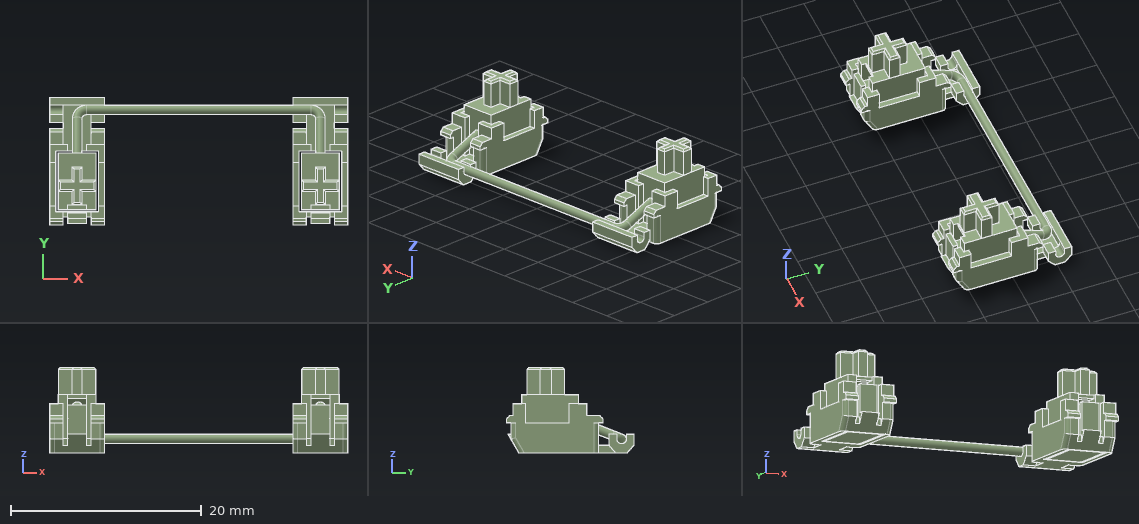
import cadquery as cq
import math


TOTAL_LENGTH = 31.3
HOUSING_WIDTH = 5.8
CENTER_X = (TOTAL_LENGTH - HOUSING_WIDTH) / 2
SIDES = (-1, 1)

HALF_WIDTH = HOUSING_WIDTH / 2
FRONT_Y = 0.47
REAR_Y = 9.67
UPPER_FRONT_Y = 0.7
UPPER_REAR_Y = 8.45
WALL_TOP_Z = 5.2
CORNER_RADIUS = 0.5
BEVEL_TOP_Z = 1.47
BEVEL_FOOT_Y = 1.3
BEVEL_RUN = (BEVEL_FOOT_Y - FRONT_Y) / BEVEL_TOP_Z

LUG_FRONT_Y = 0.0
LUG_REAR_Y = 10.15
LUG_BOTTOM_Z = 3.2
LUG_TOP_Z = 3.98
LUG_CHAMFER = 0.38

CAVITY_WIDTH = 4.45
CAVITY_FRONT_Y = 1.4
CAVITY_REAR_Y = 7.75
WINDOW_FRONT_Y = 2.0
WINDOW_REAR_Y = 6.57
WINDOW_SILL_Z = LUG_BOTTOM_Z

CHANNEL_WIDTH = 2.95
CLIP_WIDTH = 1.97
CLIP_FRONT_Y = 0.72
CLIP_BACK_Y = 1.25
CLIP_TOP_Z = 5.07
CLIP_LEDGE_Z = 2.0
SILL_FRONT_Y = 0.85
SILL_TOP_Z = 1.53

WIRE_RADIUS = 0.5
BEND_RADIUS = 1.0
WIRE_Y = 12.08
WIRE_Z = 1.5
LEG_TILT = 21.5
LEG_LENGTH = 9.33

ARM_TOP_Z = 0.85
HOOK_REAR_Y = 13.4
HOOK_FRONT_Y = 10.75
HOOK_TOP_Z = 2.0
HOOK_CHAMFER_Y = 0.75
HOOK_CHAMFER_Z = ARM_TOP_Z

STEM_WIDTH = 3.98
STEM_FRONT_Y = 1.6
STEM_REAR_Y = 7.57
STEM_TOP_Z = 6.15
CROSS_TOP_Z = 9.0
CROSS_SPAN = 3.95
CROSS_CENTER_Y = 4.13
CROSS_X_ARM_THICKNESS = 1.22
CROSS_Y_ARM_THICKNESS = 1.05
CROSS_CHAMFER = 0.22
NOTCH_WIDTH = CLIP_WIDTH
NOTCH_BACK_Y = 2.1
POCKET_FLOOR_Z = 3.65
POCKET_ROOF_Z = 5.75
POCKET_ROOF_REAR_Y = 3.13
POCKET_ROOF_SLOPE = 36.0


def block(width, y_range, z_range):
    """Box of the given X width, centred on X = 0, between two Y and two Z positions."""
    (y0, y1), (z0, z1) = y_range, z_range
    box = cq.Workplane("XY").box(width, y1 - y0, z1 - z0, centered=(True, False, False))
    return box.translate((0, y0, z0))


def side_profile(points, width):
    """Outline of (Y, Z) points extruded along X, centred on X = 0."""
    return cq.Workplane("YZ").polyline(points).close().extrude(width / 2, both=True)


def bevel_y(z):
    """Y position of the sloped front underside at height z."""
    return BEVEL_FOOT_Y - BEVEL_RUN * z


def lower_shell():
    """Housing below the lugs, with a sloped front underside and rounded corners."""
    shell = side_profile(
        [
            (BEVEL_FOOT_Y, 0),
            (REAR_Y, 0),
            (REAR_Y, LUG_BOTTOM_Z),
            (FRONT_Y, LUG_BOTTOM_Z),
            (FRONT_Y, BEVEL_TOP_Z),
        ],
        HOUSING_WIDTH,
    )
    return shell.edges("not (|X or >Z or <Z)").fillet(CORNER_RADIUS)


def upper_shell():
    """Housing above the lower part, with lugs overhanging its front and rear."""
    walls = block(HOUSING_WIDTH, (UPPER_FRONT_Y, UPPER_REAR_Y), (LUG_BOTTOM_Z, WALL_TOP_Z))
    lugs = side_profile(
        [
            (LUG_FRONT_Y, LUG_BOTTOM_Z),
            (LUG_REAR_Y, LUG_BOTTOM_Z),
            (LUG_REAR_Y, LUG_TOP_Z - LUG_CHAMFER),
            (LUG_REAR_Y - LUG_CHAMFER, LUG_TOP_Z),
            (LUG_FRONT_Y + LUG_CHAMFER, LUG_TOP_Z),
            (LUG_FRONT_Y, LUG_TOP_Z - LUG_CHAMFER),
        ],
        HOUSING_WIDTH,
    )
    return walls.union(lugs)


def shell_openings():
    """Stem cavity, side windows, front clip opening, and rear passage for the wire leg."""
    cavity = block(CAVITY_WIDTH, (CAVITY_FRONT_Y, CAVITY_REAR_Y), (0, WALL_TOP_Z))
    windows = block(HOUSING_WIDTH, (WINDOW_FRONT_Y, WINDOW_REAR_Y), (WINDOW_SILL_Z, WALL_TOP_Z))
    front_gap = block(CHANNEL_WIDTH, (LUG_FRONT_Y, CAVITY_FRONT_Y), (0, WALL_TOP_Z))
    rear_channel = block(CHANNEL_WIDTH, (UPPER_REAR_Y, LUG_REAR_Y), (ARM_TOP_Z, WALL_TOP_Z))
    rear_slot = block(CLIP_WIDTH, (CAVITY_REAR_Y, UPPER_REAR_Y), (ARM_TOP_Z, WALL_TOP_Z))
    return cavity.union(windows).union(front_gap).union(rear_channel).union(rear_slot)


def front_clip():
    """Upright tongue in the front opening, standing on a low sill."""
    sill = side_profile(
        [
            (BEVEL_FOOT_Y, 0),
            (CAVITY_FRONT_Y, 0),
            (CAVITY_FRONT_Y, SILL_TOP_Z),
            (SILL_FRONT_Y, SILL_TOP_Z),
            (SILL_FRONT_Y, (BEVEL_FOOT_Y - SILL_FRONT_Y) / BEVEL_RUN),
        ],
        CHANNEL_WIDTH,
    )
    clip = side_profile(
        [
            (BEVEL_FOOT_Y, 0),
            (bevel_y(CLIP_LEDGE_Z), CLIP_LEDGE_Z),
            (CLIP_FRONT_Y, CLIP_LEDGE_Z),
            (CLIP_FRONT_Y, CLIP_TOP_Z),
            (CLIP_BACK_Y, CLIP_TOP_Z),
            (CLIP_BACK_Y, SILL_TOP_Z),
            (BEVEL_FOOT_Y, SILL_TOP_Z),
        ],
        CLIP_WIDTH,
    )
    return sill.union(clip)


def rear_hook():
    """Grooved block that holds the long bar of the wire, on an arm from the housing."""
    arm = block(CHANNEL_WIDTH, (UPPER_REAR_Y, WIRE_Y), (0, ARM_TOP_Z))
    hook = side_profile(
        [
            (HOOK_REAR_Y - HOOK_CHAMFER_Y, 0),
            (HOOK_REAR_Y, HOOK_CHAMFER_Z),
            (HOOK_REAR_Y, HOOK_TOP_Z),
            (HOOK_FRONT_Y, HOOK_TOP_Z),
            (HOOK_FRONT_Y, HOOK_CHAMFER_Z),
            (HOOK_FRONT_Y + HOOK_CHAMFER_Y, 0),
        ],
        HOUSING_WIDTH,
    )
    groove = cq.Workplane("YZ").center(WIRE_Y, WIRE_Z).circle(WIRE_RADIUS).extrude(HALF_WIDTH, both=True)
    groove_mouth = block(
        HOUSING_WIDTH, (WIRE_Y - WIRE_RADIUS, WIRE_Y + WIRE_RADIUS), (WIRE_Z, HOOK_TOP_Z)
    )
    bend_clearance = block(CHANNEL_WIDTH, (HOOK_FRONT_Y, WIRE_Y + WIRE_RADIUS), (ARM_TOP_Z, HOOK_TOP_Z))
    return hook.cut(groove).cut(groove_mouth).cut(bend_clearance).union(arm)


def make_housing(center_x):
    shell = lower_shell().union(upper_shell()).cut(shell_openings())
    return shell.union(front_clip()).union(rear_hook()).translate((center_x, 0, 0))


def stem_cross():
    """Cross-shaped post on top of the stem."""
    height = CROSS_TOP_Z - STEM_TOP_Z
    base = cq.Workplane("XY").workplane(offset=STEM_TOP_Z).center(0, CROSS_CENTER_Y)
    x_arm = base.rect(CROSS_SPAN, CROSS_X_ARM_THICKNESS).extrude(height)
    y_arm = base.rect(CROSS_Y_ARM_THICKNESS, CROSS_SPAN).extrude(height)
    return x_arm.union(y_arm).faces(">Z").chamfer(CROSS_CHAMFER)


def stem_pocket():
    """Notch in the front of the stem, with a wedge-shaped pocket behind it for the wire end."""
    slope_run = (POCKET_ROOF_Z - POCKET_FLOOR_Z) / math.tan(math.radians(POCKET_ROOF_SLOPE))
    return side_profile(
        [
            (STEM_FRONT_Y, POCKET_FLOOR_Z),
            (POCKET_ROOF_REAR_Y + slope_run, POCKET_FLOOR_Z),
            (POCKET_ROOF_REAR_Y, POCKET_ROOF_Z),
            (NOTCH_BACK_Y, POCKET_ROOF_Z),
            (NOTCH_BACK_Y, STEM_TOP_Z),
            (STEM_FRONT_Y, STEM_TOP_Z),
        ],
        NOTCH_WIDTH,
    )


def make_stem(center_x, wire_body):
    body = block(STEM_WIDTH, (STEM_FRONT_Y, STEM_REAR_Y), (0, STEM_TOP_Z))
    stem = body.cut(stem_pocket()).union(stem_cross())
    return stem.translate((center_x, 0, 0)).cut(wire_body)


def make_wire():
    """U-shaped round wire, drawn in a plane tilted about the axis of its long bar."""
    tilt = math.radians(LEG_TILT)
    plane = cq.Plane(
        origin=(0, WIRE_Y, WIRE_Z), xDir=(1, 0, 0), normal=(0, math.sin(tilt), math.cos(tilt))
    )
    straight_x = CENTER_X - BEND_RADIUS
    bend_middle = BEND_RADIUS * math.sin(math.radians(45))
    path = (
        cq.Workplane(plane)
        .moveTo(-CENTER_X, -LEG_LENGTH)
        .lineTo(-CENTER_X, -BEND_RADIUS)
        .threePointArc((-straight_x - bend_middle, -BEND_RADIUS + bend_middle), (-straight_x, 0))
        .lineTo(straight_x, 0)
        .threePointArc((straight_x + bend_middle, -BEND_RADIUS + bend_middle), (CENTER_X, -BEND_RADIUS))
        .lineTo(CENTER_X, -LEG_LENGTH)
    )
    start = plane.toWorldCoords((-CENTER_X, -LEG_LENGTH, 0))
    end_plane = cq.Plane(origin=start.toTuple(), xDir=(1, 0, 0), normal=plane.yDir.toTuple())
    return cq.Workplane(end_plane).circle(WIRE_RADIUS).sweep(path)


wire = make_wire()
housings = [make_housing(side * CENTER_X) for side in SIDES]
stems = [make_stem(side * CENTER_X, wire) for side in SIDES]

bodies = [wire, *housings, *stems]
result = cq.Compound.makeCompound([body.solids().val() for body in bodies])